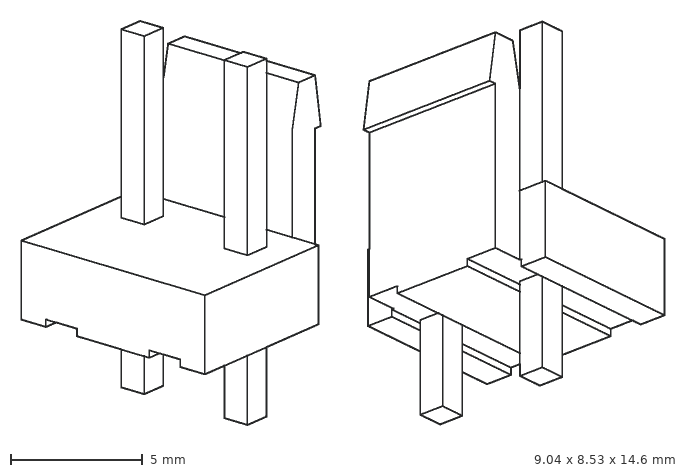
import cadquery as cq

base_width = 9.04
base_depth = 6.8
base_bottom = 3.7
base_height = 3.23

pin_size = 1.14
pin_pitch = 5.08
pin_length = 14.6
pin_y = 4.83
pin_positions = (-pin_pitch / 2, pin_pitch / 2)

groove_width = 1.52
groove_depth = 0.3

tab_width = 6.42
tab_thickness = 1.39
total_depth = 8.53
tab_top = 13.11
hook_bottom = 10.94
front_bevel_bottom = 11.23
tip_front_setback = 0.4
tip_rear_setback = 0.34


def make_base():
    return cq.Workplane("XY").box(
        base_width, base_depth, base_height, centered=(True, False, False)
    ).translate((0, 0, base_bottom))


def make_tab():
    """Upright tab with a tapered tip and a hook on its rear face."""
    rear = base_depth + tab_thickness
    profile = [
        (base_depth, base_bottom),
        (base_depth, front_bevel_bottom),
        (base_depth + tip_front_setback, tab_top),
        (total_depth - tip_rear_setback, tab_top),
        (total_depth, hook_bottom),
        (rear, hook_bottom),
        (rear, base_bottom),
    ]
    return cq.Workplane("YZ").polyline(profile).close().extrude(tab_width / 2, both=True)


def make_groove(x):
    return cq.Workplane("XY").box(
        groove_width, total_depth, groove_depth, centered=(True, False, False)
    ).translate((x, 0, base_bottom))


def make_pin(x):
    return cq.Workplane("XY").box(
        pin_size, pin_size, pin_length, centered=(True, True, False)
    ).translate((x, pin_y, 0))


result = make_base().union(make_tab())
for x in pin_positions:
    result = result.cut(make_groove(x)).union(make_pin(x))